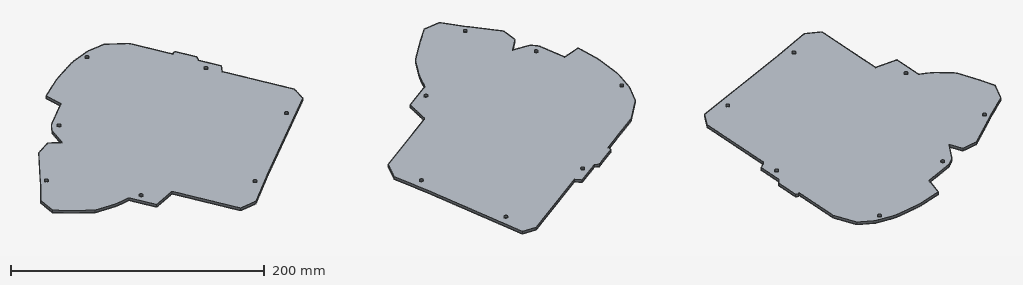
import cadquery as cq

LENGTH = 192.7
WIDTH = 192.5
THICKNESS = 3.0
HOLE_DIAMETER = 3.0

MAIN_TOP = 189.5
RIGHT_TOP = 183.8
RIGHT_BOTTOM = 49.0
LOWER_STEP = 31.6
LEFT_WALL = 13.7
RIGHT_WAIST = LENGTH - 0.5

UPPER_LEFT_SHOULDER = [
    (0, 115.0),
    (2.1, 133.7),
    (3.0, 137.8),
    (7.7, 154.7),
    (9.2, 158.4),
    (16.0, 171.3),
    (25.8, 182.3),
    (44.5, MAIN_TOP),
]
TOP_TAB = [
    (80.7, MAIN_TOP),
    (80.4, 190.5),
    (81.5, WIDTH),
    (99.6, WIDTH),
    (102.0, MAIN_TOP),
]
RIGHT_SIDE = [
    (121.0, MAIN_TOP),
    (123.5, RIGHT_TOP),
    (183.5, RIGHT_TOP),
    (LENGTH, 176.7),
    (RIGHT_WAIST, 92.0),
    (LENGTH, 59.7),
    (183.6, RIGHT_BOTTOM),
    (126.6, RIGHT_BOTTOM),
    (119.7, LOWER_STEP),
]
LOWER_LOBE = [
    (96.5, LOWER_STEP),
    (92.0, 25.6),
    (88.3, 21.5),
    (75.5, 10.6),
    (57.0, 4.0),
    (43.7, 0),
    (31.5, 7.0),
    (25.0, 26.0),
    (23.1, 30.6),
    (13.9, 55.1),
    (17.1, 67.5),
]
LEFT_NOTCH = [
    (28.0, 71.5),
    (16.4, 81.0),
    (LEFT_WALL, 87.3),
    (LEFT_WALL, 110.8),
]

HOLE_CENTERS = [
    (17.3, 165.0),
    (110.0, 183.5),
    (185.5, 157.5),
    (185.2, 80.2),
    (104.8, 37.4),
    (28.9, 28.9),
    (19.7, 88.3),
]


def make_plate():
    """Flat plate bounded by the angular outline."""
    outline = UPPER_LEFT_SHOULDER + TOP_TAB + RIGHT_SIDE + LOWER_LOBE + LEFT_NOTCH
    return cq.Workplane("XY").polyline(outline).close().extrude(THICKNESS)


def drill_mounting_holes(plate):
    """Through holes spread around the rim of the plate."""
    drills = cq.Workplane("XY").pushPoints(HOLE_CENTERS).circle(HOLE_DIAMETER / 2).extrude(THICKNESS)
    return plate.cut(drills)


result = drill_mounting_holes(make_plate())